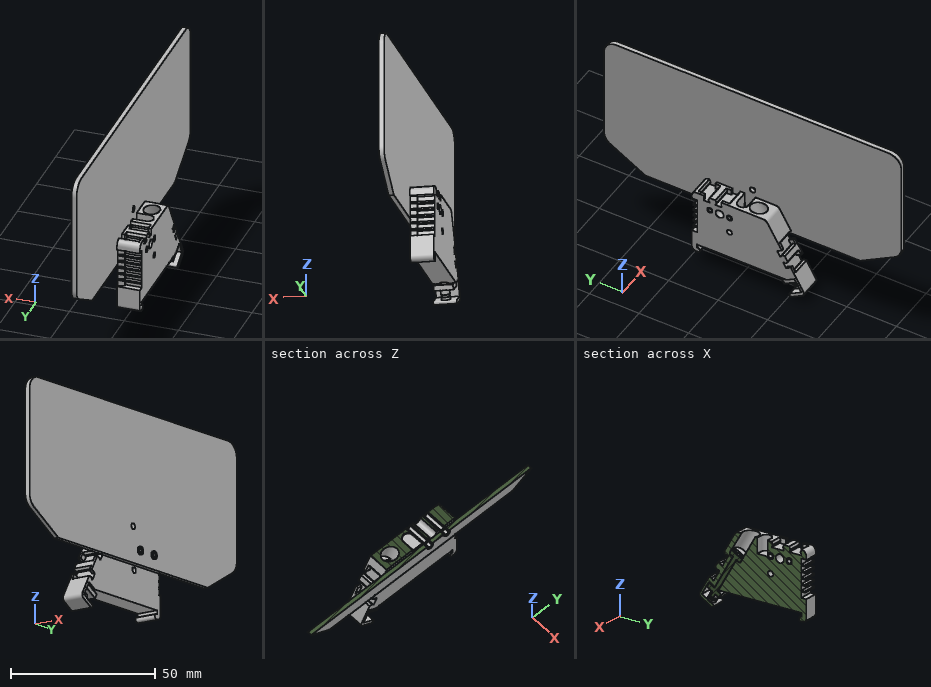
import cadquery as cq
import math


HOUSING_WIDTH = 8.4
GAP = 0.6
PLATE_THICKNESS = 1.9
RIVET_HEAD_THICKNESS = 0.4
PLATE_X = HOUSING_WIDTH + GAP
PLATE_BACK_X = PLATE_X + PLATE_THICKNESS

PLATE_LENGTH = 120.0
PLATE_HEIGHT = 55.1
PLATE_CORNER_RADIUS = 5.0
PLATE_SIDE_BOTTOM_Z = 9.6
SLOPE_ANGLE = 30.0
PLATE_HOLE_DIAMETER = 2.2
PLATE_HOLE_Z = 13.1

HOUSING_TOP_Z = 10.8
HOUSING_BOTTOM_Z = -13.1
HOUSING_BACK_Y = 19.2
SLANT_TOP_Y = -10.8
HOUSING_EDGE_RADIUS = 2.0

HOOK_LEG_THICKNESS = 2.0
HOOK_LENGTH = 3.2
HOOK_THICKNESS = 1.9
HOOK_BOTTOM_Z = -16.3
HOOK_OUTER_RADIUS = 1.7
HOOK_TIP_RADIUS = 0.8

FOOT_END = 31.8
FOOT_THICKNESS = 1.5
FOOT_LENGTH = 7.0
FOOT_LEG_THICKNESS = 1.1
FOOT_CORNER_RADIUS = 1.5
FOOT_TIP_RADIUS = 0.6
FOOT_FLOOR = FOOT_END - FOOT_THICKNESS

CLAMP_TOP = 24.7
CLAMP_THICKNESS = 1.9
CLAMP_NEAR = 1.2
CLAMP_FAR = 7.3
CLAMP_WIDTH = 7.0
SCREW_INWARD = 4.7
SCREW_DIAMETER = 3.2
SCREW_GROOVE_DIAMETER = 2.6
SCREW_GROOVE_START = 28.5
SCREW_GROOVE_LENGTH = 0.8
SCREW_HEAD_TOP = 7.1
SCREW_HEAD_HEIGHT = 1.8
SCREW_SLOT_WIDTH = 1.0
SCREW_SLOT_DEPTH = 0.8
BORE_DIAMETER = 5.8

GROOVE_WIDTH = 5.0
GROOVE_DEPTH = 2.2
GROOVE_RIDGE = 0.5
GROOVE_SPACING = 2.4
GROOVE_INNER_TAB_LENGTH = 2.0
GROOVE_OUTER_TAB_LENGTH = 2.6
GROOVE_TAB_THICKNESS = 1.1
TOP_GROOVES_Y = 10.8
SLANT_GROOVES_ALONG = 16.5

RECESS_TOP_Z = 7.3
RECESS_HEIGHT = 14.6
RECESS_DEPTH = 2.2
RIB_COUNT = 5
RIB_THICKNESS = 0.6
RIB_LENGTH = 1.5
RECESS_WALL_THICKNESS = 2.4
RECESS_WALL_LOW_HEIGHT = 0.7

POCKET_WIDTH = 4.3
POCKET_Y = 0.6
POCKET_WALL = 1.5
POCKET_DEPTH = 6.0

RIVET_DIAMETER = 2.2
RIVET_BORE_DIAMETER = 1.5
RIVET_HEAD_DIAMETER = 2.9
RIVET_Z = 5.2
RIVET_SPACING = 7.9
ROUND_HOLE_Y = 7.9
ROUND_HOLE_DIAMETER = 3.2
LOWER_HOLE_Z = -1.5
LOWER_HOLE_DIAMETER = 2.0
RIVET_YS = [ROUND_HOLE_Y + side * RIVET_SPACING / 2 for side in (1, -1)]

CUT_MARGIN = 1.2
SELECT_REACH = 0.06
SIN_SLOPE = math.sin(math.radians(SLOPE_ANGLE))
COS_SLOPE = math.cos(math.radians(SLOPE_ANGLE))
TAN_SLOPE = math.tan(math.radians(SLOPE_ANGLE))


def slant_point(along, inward):
    """Y and Z of a point given along the slanted side and inward from it."""
    y = SLANT_TOP_Y - along * SIN_SLOPE + inward * COS_SLOPE
    z = HOUSING_TOP_Z - along * COS_SLOPE - inward * SIN_SLOPE
    return y, z


def disc(diameter, y, z, x_start, x_end):
    """Cylinder along X."""
    return cq.Workplane("YZ", origin=(x_start, y, z)).circle(diameter / 2).extrude(x_end - x_start)


def screw_cylinder(diameter, along_start, along_end):
    """Cylinder on the screw axis."""
    y, z = slant_point(along_start, SCREW_INWARD)
    plane = cq.Plane((HOUSING_WIDTH / 2, y, z), (1, 0, 0), (0, -SIN_SLOPE, -COS_SLOPE))
    return cq.Workplane(plane).circle(diameter / 2).extrude(along_end - along_start)


def slant_prism(along_start, along_end, inward_start, inward_end, x_start, x_end):
    """Block lined up with the slanted side."""
    corners = [
        slant_point(along_start, inward_start),
        slant_point(along_end, inward_start),
        slant_point(along_end, inward_end),
        slant_point(along_start, inward_end),
    ]
    return cq.Workplane("YZ", origin=(x_start, 0, 0)).polyline(corners).close().extrude(x_end - x_start)


def make_plate():
    """Plate with rounded corners and sloping lower corners, drilled for the rivets."""
    half = PLATE_LENGTH / 2
    bottom_half = half - PLATE_SIDE_BOTTOM_Z / TAN_SLOPE
    outline = [
        (-bottom_half, 0),
        (bottom_half, 0),
        (half, PLATE_SIDE_BOTTOM_Z),
        (half, PLATE_HEIGHT),
        (-half, PLATE_HEIGHT),
        (-half, PLATE_SIDE_BOTTOM_Z),
    ]
    plate = cq.Workplane("YZ", origin=(PLATE_X, 0, 0)).polyline(outline).close().extrude(PLATE_THICKNESS)
    plate = plate.edges("|X").edges("<Y or >Y").fillet(PLATE_CORNER_RADIUS)
    plate = plate.cut(disc(PLATE_HOLE_DIAMETER, 0, PLATE_HOLE_Z, PLATE_X, PLATE_BACK_X))
    for y in RIVET_YS:
        plate = plate.cut(disc(RIVET_DIAMETER, y, RIVET_Z, PLATE_X, PLATE_BACK_X))
    return plate


def fillet_at(body, point, radius):
    """Round the edge along X that passes through a Y, Z point."""
    y, z = point
    box = cq.selectors.BoxSelector(
        (-CUT_MARGIN, y - SELECT_REACH, z - SELECT_REACH),
        (HOUSING_WIDTH + CUT_MARGIN, y + SELECT_REACH, z + SELECT_REACH),
    )
    return body.edges("|X").edges(box).fillet(radius)


def housing_block():
    """Outline of the housing with its hook and foot, extruded over the full width."""
    clamp_inward_at_bottom = (HOUSING_TOP_Z - HOUSING_BOTTOM_Z - CLAMP_TOP * COS_SLOPE) / SIN_SLOPE
    hook_inner_y = HOUSING_BACK_Y - HOOK_LEG_THICKNESS
    hook_tip_y = HOUSING_BACK_Y - HOOK_LENGTH
    hook_top_z = HOOK_BOTTOM_Z + HOOK_THICKNESS
    back_top = (HOUSING_BACK_Y, HOUSING_TOP_Z)
    slant_top = slant_point(0, 0)
    foot_corner = slant_point(FOOT_END, 0)
    foot_tip_bottom = slant_point(FOOT_END, FOOT_LENGTH)
    foot_tip_top = slant_point(FOOT_FLOOR, FOOT_LENGTH)
    hook_corner = (HOUSING_BACK_Y, HOOK_BOTTOM_Z)
    hook_tip_bottom = (hook_tip_y, HOOK_BOTTOM_Z)
    hook_tip_top = (hook_tip_y, hook_top_z)
    outline = [
        back_top,
        slant_top,
        foot_corner,
        foot_tip_bottom,
        foot_tip_top,
        slant_point(FOOT_FLOOR, FOOT_LEG_THICKNESS),
        slant_point(CLAMP_TOP, FOOT_LEG_THICKNESS),
        slant_point(CLAMP_TOP, clamp_inward_at_bottom),
        (hook_inner_y, HOUSING_BOTTOM_Z),
        (hook_inner_y, hook_top_z),
        hook_tip_top,
        hook_tip_bottom,
        hook_corner,
    ]
    block = cq.Workplane("YZ").polyline(outline).close().extrude(HOUSING_WIDTH)
    rounded = [
        (back_top, HOUSING_EDGE_RADIUS),
        (slant_top, HOUSING_EDGE_RADIUS),
        (foot_corner, FOOT_CORNER_RADIUS),
        (foot_tip_bottom, FOOT_TIP_RADIUS),
        (foot_tip_top, FOOT_TIP_RADIUS),
        (hook_corner, HOOK_OUTER_RADIUS),
        (hook_tip_bottom, HOOK_TIP_RADIUS),
        (hook_tip_top, HOOK_TIP_RADIUS),
    ]
    for point, radius in rounded:
        block = fillet_at(block, point, radius)
    return block


def groove_piece(origin, upward, side, near, far, x_start, x_end):
    """Stretch of one groove between two distances from the middle of the pair."""
    section = [
        (side * near, CUT_MARGIN),
        (side * near, -GROOVE_DEPTH),
        (side * far, -GROOVE_DEPTH),
        (side * far, CUT_MARGIN),
    ]
    plane = cq.Plane((x_start, *origin), (0, *upward), (1, 0, 0))
    return cq.Workplane(plane).polyline(section).close().extrude(x_end - x_start)


def groove_ridge(origin, upward, wall, direction, x_start, x_end):
    """Ridge of triangular section along a groove wall, pointing in the given direction."""
    section = [(wall, 0), (wall + direction * GROOVE_RIDGE, -GROOVE_DEPTH / 2), (wall, -GROOVE_DEPTH)]
    plane = cq.Plane((x_start, *origin), (0, *upward), (1, 0, 0))
    return cq.Workplane(plane).polyline(section).close().extrude(x_end - x_start)


def cut_groove_pair(body, origin, upward):
    """Two mirrored grooves, each narrowed by an outer tab at one end and an inner tab at the other."""
    near = GROOVE_SPACING / 2
    far = near + GROOVE_WIDTH
    first_far = far - GROOVE_OUTER_TAB_LENGTH
    last_near = near + GROOVE_INNER_TAB_LENGTH
    first_tab_x = GROOVE_TAB_THICKNESS
    last_tab_x = HOUSING_WIDTH - GROOVE_TAB_THICKNESS
    for side in (1, -1):
        body = body.cut(groove_piece(origin, upward, side, near, first_far, 0, first_tab_x))
        body = body.cut(groove_piece(origin, upward, side, near, far, first_tab_x, last_tab_x))
        body = body.cut(groove_piece(origin, upward, side, last_near, far, last_tab_x, HOUSING_WIDTH))
        body = body.union(groove_ridge(origin, upward, side * near, side, 0, last_tab_x))
        body = body.union(groove_ridge(origin, upward, side * far, -side, first_tab_x, HOUSING_WIDTH))
    return body


def recess_end_wall(root_y):
    """Wall that closes the recess toward the plate and slopes up to the rib tips."""
    inner_x = HOUSING_WIDTH - RECESS_WALL_THICKNESS
    section = [
        (HOUSING_WIDTH, root_y),
        (HOUSING_WIDTH, root_y + RIB_LENGTH),
        (inner_x, root_y + RECESS_WALL_LOW_HEIGHT),
        (inner_x, root_y),
    ]
    floor = cq.Workplane("XY", origin=(0, 0, RECESS_TOP_Z - RECESS_HEIGHT))
    return floor.polyline(section).close().extrude(RECESS_HEIGHT)


def cut_ribbed_recess(body):
    """Recess in the back, divided by ribs and closed at one end by a sloping wall."""
    root_y = HOUSING_BACK_Y - RECESS_DEPTH
    center_z = RECESS_TOP_Z - RECESS_HEIGHT / 2
    recess = cq.Workplane("XY").box(HOUSING_WIDTH, RECESS_DEPTH, RECESS_HEIGHT, centered=(False, False, True))
    body = body.cut(recess.translate((0, root_y, center_z)))
    pitch = RECESS_HEIGHT / (RIB_COUNT + 1)
    rib = cq.Workplane("XY").box(HOUSING_WIDTH, RIB_LENGTH, RIB_THICKNESS, centered=(False, False, True))
    for index in range(RIB_COUNT):
        body = body.union(rib.translate((0, root_y, RECESS_TOP_Z - (index + 1) * pitch)))
    return body.union(recess_end_wall(root_y))


def cut_pocket(body):
    """Round-ended pocket in the top."""
    radius = POCKET_WIDTH / 2
    round_x = POCKET_WALL + radius
    pocket = (
        cq.Workplane("XY", origin=(0, POCKET_Y, HOUSING_TOP_Z))
        .moveTo(HOUSING_WIDTH, radius)
        .lineTo(round_x, radius)
        .threePointArc((POCKET_WALL, 0), (round_x, -radius))
        .lineTo(HOUSING_WIDTH, -radius)
        .close()
        .extrude(-POCKET_DEPTH)
    )
    return body.cut(pocket)


def cut_screw_bore(body):
    """Slanted bore from the top down to the screw head, then a hole for the shank."""
    seat = SCREW_HEAD_TOP + SCREW_HEAD_HEIGHT
    body = body.cut(screw_cylinder(BORE_DIAMETER, -2 * BORE_DIAMETER, seat))
    return body.cut(screw_cylinder(SCREW_DIAMETER, seat, CLAMP_TOP))


def make_housing():
    """Housing with every recess, groove and hole cut into its block."""
    housing = housing_block()
    housing = cut_ribbed_recess(housing)
    housing = cut_groove_pair(housing, (TOP_GROOVES_Y, HOUSING_TOP_Z), (1, 0))
    housing = cut_groove_pair(housing, slant_point(SLANT_GROOVES_ALONG, 0), (SIN_SLOPE, COS_SLOPE))
    housing = cut_pocket(housing)
    housing = cut_screw_bore(housing)
    housing = housing.cut(disc(ROUND_HOLE_DIAMETER, ROUND_HOLE_Y, RIVET_Z, 0, HOUSING_WIDTH))
    housing = housing.cut(disc(LOWER_HOLE_DIAMETER, RIVET_YS[1], LOWER_HOLE_Z, 0, HOUSING_WIDTH))
    for y in RIVET_YS:
        housing = housing.cut(disc(RIVET_DIAMETER, y, RIVET_Z, 0, HOUSING_WIDTH))
    return housing


def make_clamp():
    """Screw with a slotted head, a clamping block and a grooved end standing on the foot."""
    groove_end = SCREW_GROOVE_START + SCREW_GROOVE_LENGTH
    seat = SCREW_HEAD_TOP + SCREW_HEAD_HEIGHT
    clamp = screw_cylinder(BORE_DIAMETER, SCREW_HEAD_TOP, seat)
    clamp = clamp.union(screw_cylinder(SCREW_DIAMETER, seat, SCREW_GROOVE_START))
    clamp = clamp.union(screw_cylinder(SCREW_GROOVE_DIAMETER, SCREW_GROOVE_START, groove_end))
    clamp = clamp.union(screw_cylinder(SCREW_DIAMETER, groove_end, FOOT_FLOOR))
    block_x = (HOUSING_WIDTH - CLAMP_WIDTH) / 2
    block = slant_prism(
        CLAMP_TOP, CLAMP_TOP + CLAMP_THICKNESS, CLAMP_NEAR, CLAMP_FAR, block_x, block_x + CLAMP_WIDTH
    )
    clamp = clamp.union(block)
    slot = slant_prism(
        SCREW_HEAD_TOP,
        SCREW_HEAD_TOP + SCREW_SLOT_DEPTH,
        SCREW_INWARD - BORE_DIAMETER / 2,
        SCREW_INWARD + BORE_DIAMETER / 2,
        (HOUSING_WIDTH - SCREW_SLOT_WIDTH) / 2,
        (HOUSING_WIDTH + SCREW_SLOT_WIDTH) / 2,
    )
    return clamp.cut(slot)


def make_rivet(y):
    """Hollow rivet through housing and plate, with its head behind the plate."""
    rivet_end = PLATE_BACK_X + RIVET_HEAD_THICKNESS
    rivet = disc(RIVET_DIAMETER, y, RIVET_Z, 0, PLATE_BACK_X)
    rivet = rivet.union(disc(RIVET_HEAD_DIAMETER, y, RIVET_Z, PLATE_BACK_X, rivet_end))
    return rivet.cut(disc(RIVET_BORE_DIAMETER, y, RIVET_Z, 0, rivet_end))


plate = make_plate()
housing = make_housing()
clamp = make_clamp()
rivets = [make_rivet(y) for y in RIVET_YS]

result = cq.Compound.makeCompound(
    [plate.val(), housing.val(), clamp.val(), *[rivet.val() for rivet in rivets]]
)